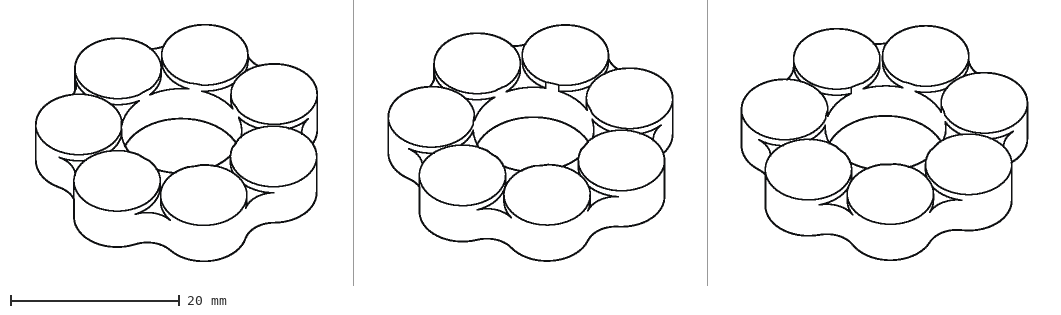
import cadquery as cq
import math

LOBE_COUNT = 7
PITCH_RADIUS = 12.165
LOBE_RADIUS = 10.25 / 2
VALLEY_RADIUS = 3.5
BORE_DIAMETER = 14.3
BODY_HEIGHT = 5.0
PAD_HEIGHT = 1.0
FIRST_LOBE_ANGLE = 24.0

LOBE_STEP = 360.0 / LOBE_COUNT
HALF_STEP = LOBE_STEP / 2
HALF_SPACING = PITCH_RADIUS * math.sin(math.radians(HALF_STEP))
APOTHEM = PITCH_RADIUS * math.cos(math.radians(HALF_STEP))
CENTRE_DISTANCE = LOBE_RADIUS + VALLEY_RADIUS
BLEND_CENTRE_RADIUS = APOTHEM + math.sqrt(CENTRE_DISTANCE**2 - HALF_SPACING**2)
VALLEY_FLOOR_RADIUS = BLEND_CENTRE_RADIUS - VALLEY_RADIUS
LOBE_TIP_RADIUS = PITCH_RADIUS + LOBE_RADIUS


def polar(radius, angle):
    """Point at a radius and an angle in degrees about the ring centre."""
    return (
        radius * math.cos(math.radians(angle)),
        radius * math.sin(math.radians(angle)),
    )


def tangent_point(lobe_angle, valley_angle):
    """Point where a lobe arc meets the blend arc of the valley beside it."""
    lobe_x, lobe_y = polar(PITCH_RADIUS, lobe_angle)
    blend_x, blend_y = polar(BLEND_CENTRE_RADIUS, valley_angle)
    share = LOBE_RADIUS / CENTRE_DISTANCE
    return (
        lobe_x + share * (blend_x - lobe_x),
        lobe_y + share * (blend_y - lobe_y),
    )


def make_body(lobe_angles):
    """Lobed plate whose outline alternates convex lobes and concave valleys."""
    first_angle = lobe_angles[0]
    outline = cq.Workplane("XY").moveTo(*tangent_point(first_angle, first_angle - HALF_STEP))
    for angle in lobe_angles:
        valley_angle = angle + HALF_STEP
        lobe_tip = polar(LOBE_TIP_RADIUS, angle)
        lobe_end = tangent_point(angle, valley_angle)
        valley_floor = polar(VALLEY_FLOOR_RADIUS, valley_angle)
        next_lobe_start = tangent_point(angle + LOBE_STEP, valley_angle)
        outline = outline.threePointArc(lobe_tip, lobe_end)
        outline = outline.threePointArc(valley_floor, next_lobe_start)
    return outline.close().extrude(BODY_HEIGHT)


def make_pads(lobe_angles):
    """Round pads standing on the body, one over each lobe."""
    centres = [polar(PITCH_RADIUS, angle) for angle in lobe_angles]
    pad_plane = cq.Workplane("XY").workplane(offset=BODY_HEIGHT)
    return pad_plane.pushPoints(centres).circle(LOBE_RADIUS).extrude(PAD_HEIGHT)


def make_bore():
    """Central through hole."""
    return cq.Workplane("XY").circle(BORE_DIAMETER / 2).extrude(BODY_HEIGHT + PAD_HEIGHT)


lobe_angles = [FIRST_LOBE_ANGLE + i * LOBE_STEP for i in range(LOBE_COUNT)]
result = make_body(lobe_angles).union(make_pads(lobe_angles)).cut(make_bore())